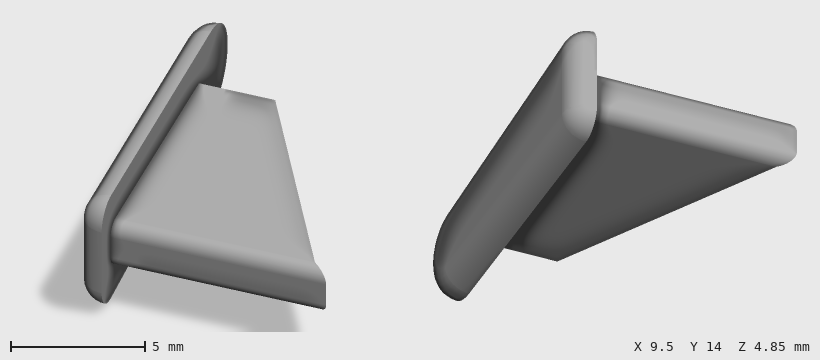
import cadquery as cq
import math

length = 14.0
plate_thickness = 1.0
wide_height = 4.94
narrow_radius = 1.96
trim_allowance = 0.7

blade_root_thickness = 2.05
blade_top_thickness = 1.0
blade_edge_radius = 0.5
blade_bottom_y = -6.0
blade_top_y = 3.81
blade_top_x = 4.0
blade_shoulder_x = 8.89
blade_tip_x = 9.5


def make_plate():
    wide_y = -length / 2
    wide_half_height = wide_height / 2
    center_y = length / 2 - narrow_radius

    run = center_y - wide_y
    corner_distance = math.hypot(run, wide_half_height)
    normal_angle = math.pi - math.atan2(wide_half_height, run) - math.acos(narrow_radius / corner_distance)
    tangent_y = center_y + narrow_radius * math.cos(normal_angle)
    tangent_z = narrow_radius * math.sin(normal_angle)

    blank = (
        cq.Workplane("YZ")
        .moveTo(wide_y, -wide_half_height)
        .lineTo(tangent_y, -tangent_z)
        .threePointArc((length / 2, 0), (tangent_y, tangent_z))
        .lineTo(wide_y, wide_half_height)
        .close()
        .extrude(plate_thickness + trim_allowance)
    )
    rounded = blank.edges("<X or (|X and <Y)").fillet(plate_thickness)
    return rounded.intersect(
        cq.Workplane("XY").box(plate_thickness, length, wide_height, centered=(False, True, True))
    )


def make_blade():
    outline = [
        (plate_thickness, blade_bottom_y),
        (blade_tip_x, blade_bottom_y),
        (blade_shoulder_x, blade_bottom_y + blade_edge_radius),
        (blade_top_x, blade_top_y),
        (plate_thickness, blade_top_y),
    ]
    side_profile = [
        (blade_bottom_y, -blade_root_thickness / 2),
        (blade_top_y, -blade_top_thickness / 2),
        (blade_top_y, blade_top_thickness / 2),
        (blade_bottom_y, blade_root_thickness / 2),
    ]
    wedge = cq.Workplane("YZ").polyline(side_profile).close().extrude(blade_tip_x)
    rounded = wedge.faces("<Y").edges("|X").fillet(blade_edge_radius)
    prism = cq.Workplane("XY").polyline(outline).close().extrude(blade_root_thickness / 2, both=True)
    return rounded.intersect(prism)


result = make_plate().union(make_blade())